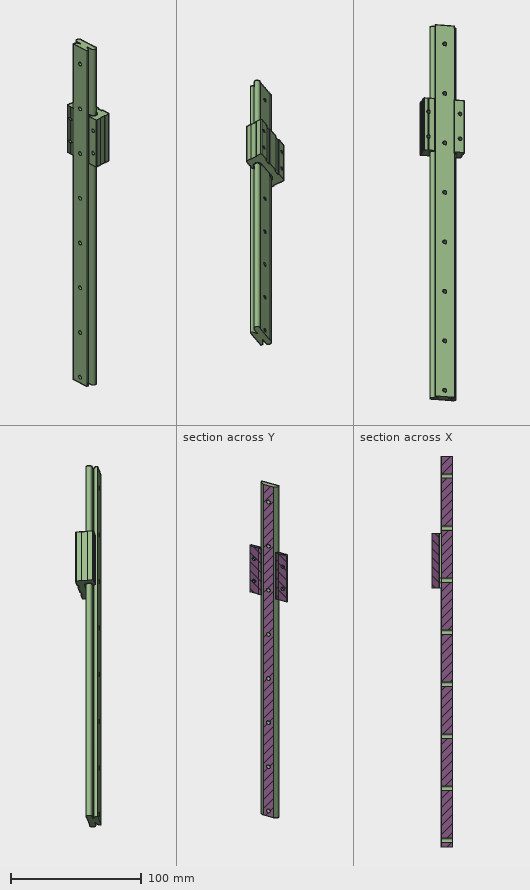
import cadquery as cq
import math

SIDES = (-1, 1)

rail_length = 300.0
rail_width = 20.5
base_half_width = 7.5
base_thickness = 1.8
base_fillet = 0.5
flank_angle = 30.0
neck_half_width = 4.0
bead_radius = 2.5
bead_x = rail_width / 2 - bead_radius
bead_y = 6.5
web_bottom = bead_y - bead_radius
web_top = 8.7
bead_edge_x = bead_x - math.sqrt(bead_radius**2 - (web_top - bead_y) ** 2)

rail_hole_diameter = 3.0
rail_hole_count = 8
first_hole_z = 5.0
last_hole_z = rail_length - 15.0
rail_hole_pitch = (last_hole_z - first_hole_z) / (rail_hole_count - 1)

block_width = 32.0
block_length = 42.0
block_center_z = 220.0
block_bottom = block_center_z - block_length / 2
block_front = 1.8
block_back = 16.0
front_chamfer = 0.5
back_chamfer_x = 0.5
back_chamfer_y = 1.0

channel_half_width = 10.8
channel_floor = 3.3
channel_top = 10.2
channel_radius = (channel_top - channel_floor) / 2
channel_y = channel_floor + channel_radius
channel_end_x = channel_half_width - channel_radius
lip_tip_half_gap = 6.0
lip_front_half_gap = 7.8

mount_hole_diameter = 2.7
mount_spacing_x = 25.0
mount_spacing_z = 20.0

back_groove_width = 4.2
back_groove_depth = 1.0
back_groove_x = 6.3
side_groove_width = 4.8
side_groove_depth = 0.3
side_groove_y = 8.7
mark_groove_width = 1.0
mark_groove_depth = 0.3
mark_groove_x = -mount_spacing_x / 2

liner_inner_x = 6.3


def block_plane():
    """The XY plane at the lower end of the block."""
    return cq.Workplane("XY").workplane(offset=block_bottom)


def strip(x_center, y_center, x_size, y_size):
    """A bar of rectangular section as long as the block."""
    return block_plane().center(x_center, y_center).rect(x_size, y_size).extrude(block_length)


def cross_holes(points, diameter):
    """Cylinders along Y at (x, z) points, reaching through the rail and the block."""
    return cq.Workplane("XZ").pushPoints(points).circle(diameter / 2).extrude(-block_back)


def make_rail():
    flank_run = base_half_width - neck_half_width
    flank_top = base_thickness + flank_run * math.tan(math.radians(flank_angle))
    bead_end = rail_width / 2
    rail = (
        cq.Workplane("XY")
        .moveTo(-base_half_width, 0)
        .lineTo(base_half_width, 0)
        .lineTo(base_half_width, base_thickness)
        .lineTo(neck_half_width, flank_top)
        .lineTo(neck_half_width, web_bottom)
        .lineTo(bead_x, web_bottom)
        .threePointArc((bead_end, bead_y), (bead_edge_x, web_top))
        .lineTo(-bead_edge_x, web_top)
        .threePointArc((-bead_end, bead_y), (-bead_x, web_bottom))
        .lineTo(-neck_half_width, web_bottom)
        .lineTo(-neck_half_width, flank_top)
        .lineTo(-base_half_width, base_thickness)
        .close()
        .extrude(rail_length)
    )
    for side in SIDES:
        corner = cq.selectors.NearestToPointSelector((side * base_half_width, base_thickness, rail_length / 2))
        rail = rail.edges("|Z").edges(corner).fillet(base_fillet)
    hole_points = [(0, first_hole_z + i * rail_hole_pitch) for i in range(rail_hole_count)]
    return rail.cut(cross_holes(hole_points, rail_hole_diameter))


def make_channel():
    """The space inside the block, open to the front between the lips."""
    return (
        block_plane()
        .moveTo(-lip_front_half_gap, block_front)
        .lineTo(lip_front_half_gap, block_front)
        .lineTo(lip_tip_half_gap, channel_floor)
        .lineTo(channel_end_x, channel_floor)
        .threePointArc((channel_half_width, channel_y), (channel_end_x, channel_top))
        .lineTo(-channel_end_x, channel_top)
        .threePointArc((-channel_half_width, channel_y), (-channel_end_x, channel_floor))
        .lineTo(-lip_tip_half_gap, channel_floor)
        .close()
        .extrude(block_length)
    )


def make_block_body():
    """The plain block with its four long corners chamfered."""
    half_width = block_width / 2
    return (
        block_plane()
        .moveTo(-half_width, block_front + front_chamfer)
        .lineTo(-half_width + front_chamfer, block_front)
        .lineTo(half_width - front_chamfer, block_front)
        .lineTo(half_width, block_front + front_chamfer)
        .lineTo(half_width, block_back - back_chamfer_y)
        .lineTo(half_width - back_chamfer_x, block_back)
        .lineTo(-half_width + back_chamfer_x, block_back)
        .lineTo(-half_width, block_back - back_chamfer_y)
        .close()
        .extrude(block_length)
    )


def make_carriage():
    carriage = make_block_body().cut(make_channel())
    mount_points = [
        (x_side * mount_spacing_x / 2, block_center_z + z_side * mount_spacing_z / 2)
        for x_side in SIDES
        for z_side in SIDES
    ]
    carriage = carriage.cut(cross_holes(mount_points, mount_hole_diameter))
    for side in SIDES:
        back_groove = strip(side * back_groove_x, block_back, back_groove_width, 2 * back_groove_depth)
        side_groove = strip(side * block_width / 2, side_groove_y, 2 * side_groove_depth, side_groove_width)
        carriage = carriage.cut(back_groove).cut(side_groove)
    mark_groove = strip(mark_groove_x, block_front, mark_groove_width, 2 * mark_groove_depth)
    return carriage.cut(mark_groove)


def make_liner(side):
    """Fills one round end of the channel around the bead and the edge of the web."""
    return (
        block_plane()
        .moveTo(side * liner_inner_x, channel_floor)
        .lineTo(side * channel_end_x, channel_floor)
        .threePointArc((side * channel_half_width, channel_y), (side * channel_end_x, channel_top))
        .lineTo(side * liner_inner_x, channel_top)
        .lineTo(side * liner_inner_x, web_top)
        .lineTo(side * bead_edge_x, web_top)
        .threePointArc((side * rail_width / 2, bead_y), (side * bead_x, web_bottom))
        .lineTo(side * liner_inner_x, web_bottom)
        .close()
        .extrude(block_length)
    )


rail = make_rail()
carriage = make_carriage()
liners = [make_liner(side) for side in SIDES]

result = cq.Compound.makeCompound([rail.val(), carriage.val(), *[liner.val() for liner in liners]])